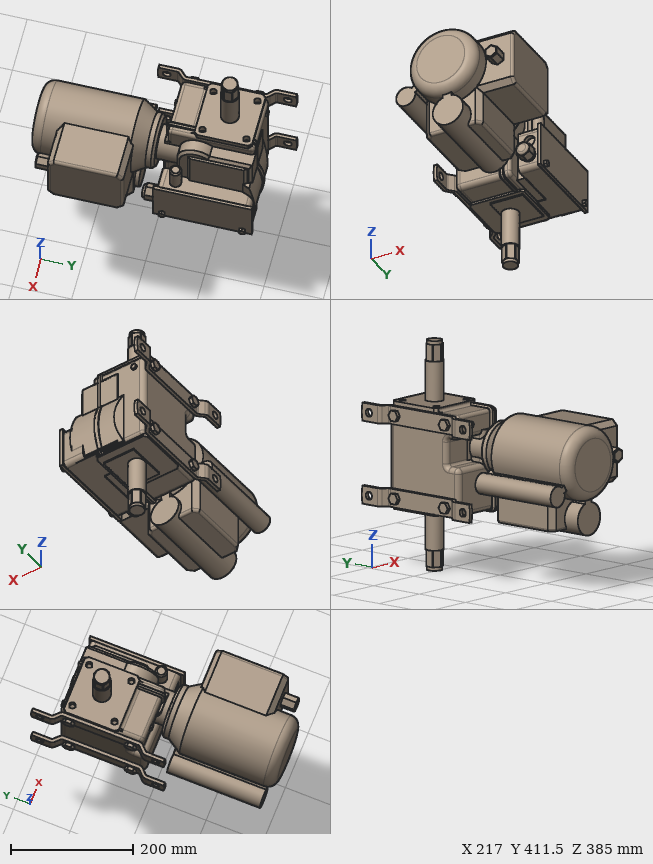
import cadquery as cq
import math



def box(x_min, x_max, y_min, y_max, z_min, z_max):
    """Axis-aligned box given by its six limits."""
    size = (x_max - x_min, y_max - y_min, z_max - z_min)
    return cq.Workplane("XY").box(*size, centered=False).translate((x_min, y_min, z_min))


def rod_y(x, z, radius, y_back, y_front):
    """Round rod along Y, from y_back forward to y_front."""
    plane = cq.Plane((x, y_back, z), xDir=(0, 0, 1), normal=(0, -1, 0))
    return cq.Workplane(plane).circle(radius).extrude(y_back - y_front)


def hex_prism(origin, outward, corner_dir, across_flats, length):
    """Hexagonal prism growing along outward, with one corner towards corner_dir."""
    plane = cq.Plane(origin, xDir=corner_dir, normal=outward)
    return cq.Workplane(plane).polygon(6, across_flats / math.cos(math.pi / 6)).extrude(length)


housing_left = -52.0
housing_right = 50.5
housing_back = 53.5
upper_front = -93.0
lower_front = -97.5
block_top = 84.8
block_bottom = -84.8
corner_fillet = 9.0
top_fillet = 6.0
right_fillet = 5.8

recess_back = -71.0
recess_bottom = -3.0
recess_top = 43.2
recess_fillet = 5.0
recess_right = 10.3

plate_right = 49.5
plate_back = 48.5
plate_front = -49.0
plate_corner = 5.5
plate_foot_radius = 5.5
top_plate_face = 91.8
bottom_plate_face = -89.0
bottom_pad_face = -91.5
bottom_pad_left = -16.5
bottom_pad_front = -40.5
bottom_pad_back = 33
plate_hole_diameter = 10.5
plate_hole_spacing = 74.5
plate_hole_depth = 12.5
drill_angle = 118

rib_left = 31.3
rib_right = 39.0
rib_top = 88.5
rib_front = -102.0
rib_upper_front = -96.5
rib_back = 56.0
rib_fillet = 9.0
rib_bulge_rise = 2.5
rib_slope = 3.3

cover_right = 75.0
cover_back = 55.5
cover_top = 67.5
cover_bottom = -82.5
cover_fillet = 5.0
hub_radius = 33
hub_y = -38.5
hub_z = 43.0
pad_right = 79.5
pad_front = -52.5
pad_back = 47.7
pad_top = 61.7

bulge_left = -11.0
bulge_end_y = 41
bulge_depth = 10.5
bulge_slope_left = 12.0
bulge_overhang = 10.0
bulge_top = 16.5
bulge_bottom = -84.0

switch_left = 65.5
switch_front = -97.5
switch_back = 61.5
switch_bottom = -84.0
switch_top = -7.5
switch_fillet = 9.0
lid_left = 104.0
lid_right = 110.0
lid_front = -103
lid_back = 64.0
lid_overhang = 1.2
lid_screw_flats = 10.0
lid_screw_height = 5.5
lid_screw_z = -77.0
lid_screw_ys = (48.5, -87.2)
gland_x = 86.0
gland_z = -59.5
gland_flats = 24.3
gland_neck = 4
gland_neck_radius = 11.5
gland_length = 28.0
gland_tip_radius = 12.0
gland_tip_length = 5.0
gland_tip_fillet = 4.5
spare_hole_z = -31.3
spare_hole_radius = 10.0
spare_hole_depth = 8.2
plug_x = 87.5
plug_y = -70
plug_radius = 10.0
plug_length = 39.0
plug_chamfer = 3.0

small_plug_flats = 9.5
small_plug_height = 3.3
small_plug_z = 66
front_plug_x = -17.0
back_plug_x = -33

shaft_radius = 15.2
shaft_shoulder = 158.5
shaft_hex_end = 186.5
shaft_end = 192.5
shaft_hex_flats = 26.0
shaft_hex_corner_radius = 14.5
shaft_tip_radius = 12.8

motor_x = 35.0
motor_z = 21.0
motor_radius = 62.5
neck_radius = 29.2
flange_radius = 46.5
flange_chamfer = 5.0
flange_back = -108.5
cone_back = -122.5
barrel_back = -148
motor_front = -314.0
motor_fillet = 18.0

terminal_reach = 112.0
terminal_width = 104.5
terminal_back = -144
terminal_front = -272.0
terminal_chamfer = 10.0
terminal_fillet = 5.0
terminal_gland_offset = 84.0
terminal_gland_flats = 22.0
terminal_gland_length = 25.0
terminal_gland_chamfer = 1.5

capacitor_back = -136.5
capacitor_front = -300.5
small_capacitor_x = -36.5
small_capacitor_z = -23.5
small_capacitor_radius = 17.5
small_web_width = 12.5
large_capacitor_x = 41.5
large_capacitor_z = -72.5
large_capacitor_radius = 28.0
large_web_x = 40.0
large_web_width = 16.5

bracket_z = 69.5
bracket_width = 30.5
bracket_thickness = 6.0
bracket_offset = 12.0
bracket_back = 97.5
bracket_front = -138.3
bracket_end_bulge = 1.5
bend_back = 47.7
bend_front = -89.0
bend_radius = 4
bracket_hole_diameter = 13.0
bracket_hole_ys = (82.0, -122.5)
bolt_ys = (34.5, -75.0)
bolt_flats = 17.3
bolt_height = 6.0


def housing_block():
    """Housing with the motor recess across its front and rounded outer edges."""
    profile = [
        (housing_back, block_bottom),
        (lower_front, block_bottom),
        (lower_front, recess_bottom),
        (recess_back, recess_bottom),
        (recess_back, recess_top),
        (upper_front, recess_top),
        (upper_front, block_top),
        (housing_back, block_top),
    ]
    block = cq.Workplane("YZ", origin=(housing_left, 0, 0)).polyline(profile).close()
    block = block.extrude(housing_right - housing_left)
    recess_rear = cq.selectors.BoxSelector(
        (housing_left, recess_back - recess_fillet, recess_bottom - recess_fillet),
        (housing_right, recess_back + recess_fillet, recess_top + recess_fillet),
    )
    front_edges = cq.selectors.BoxSelector(
        (housing_left, lower_front - recess_fillet, block_bottom - recess_fillet),
        (housing_right, upper_front + recess_fillet, recess_top + recess_fillet),
    )
    block = block.edges("|X").edges(recess_rear).fillet(recess_fillet)
    block = block.edges("|X").edges(front_edges).fillet(corner_fillet)
    block = block.edges("|X").edges(">Z or >Y").fillet(top_fillet)
    block = block.faces("<X").edges().fillet(corner_fillet)
    return block.faces(">X").edges().fillet(right_fillet)


def recess_end():
    """Raised end of the recess, level with the lower front and rounded towards the recess."""
    boss = box(
        recess_right, housing_right, lower_front, recess_back,
        recess_bottom - corner_fillet, recess_top + corner_fillet,
    )
    return boss.edges("|Z and <X and <Y").fillet(corner_fillet)


def mounting_plate(outer_face):
    """Square plate with cut corners, reaching from the housing middle to outer_face."""
    z_min = min(0, outer_face)
    z_max = max(0, outer_face)
    plate = box(housing_left, plate_right, plate_front, plate_back, z_min, z_max)
    return plate.edges("|Z").chamfer(plate_corner)


def plate_foot():
    """Concave fillet between the front of the top plate and the housing top."""
    radius = plate_foot_radius
    inset = radius * (1 - math.sqrt(0.5))
    foot = (
        cq.Workplane("YZ", origin=(housing_left + plate_corner, 0, 0))
        .moveTo(plate_front, block_top + radius)
        .threePointArc((plate_front - inset, block_top + inset), (plate_front - radius, block_top))
        .lineTo(plate_front, block_top)
        .close()
    )
    return foot.extrude(plate_right - housing_left - 2 * plate_corner)


def bottom_pad():
    """Low pad under the lower mounting plate."""
    return box(
        bottom_pad_left, plate_right - plate_corner,
        bottom_pad_front, bottom_pad_back, bottom_pad_face, 0,
    )


def plate_holes():
    """Four drilled blind holes in the top plate, with conical bottoms."""
    radius = plate_hole_diameter / 2
    cone_depth = radius / math.tan(math.radians(drill_angle / 2))
    drill = (
        cq.Workplane("XZ")
        .polyline([(0, 0), (radius, 0), (radius, -plate_hole_depth), (0, -plate_hole_depth - cone_depth)])
        .close()
        .revolve(360, (0, 0, 0), (0, 1, 0))
    )
    half = plate_hole_spacing / 2
    holes = cq.Workplane("XY")
    for x in (-half, half):
        for y in (-half, half):
            holes = holes.add(drill.translate((x, y, top_plate_face)))
    return holes.combine()


def parting_rib():
    """Thin rib standing proud of the housing, stepped back above the recess."""
    width = (rib_left, rib_right)
    lower = box(*width, rib_front, rib_back, -rib_top, recess_bottom)
    upper = box(*width, rib_upper_front, rib_back, recess_bottom, rib_top)
    lower = lower.edges("|X and <Z").fillet(rib_fillet)
    upper = upper.edges("|X and >Z").fillet(rib_fillet)
    return lower.union(upper).faces("<X").edges().chamfer(rib_slope)


def bulge_arc(x_min, x_max, depth):
    """Segment of a cylinder along X, rising by depth from the back of the housing."""
    middle = (bulge_top + bulge_bottom) / 2
    segment = cq.Workplane("YZ", origin=(x_min, 0, 0)).moveTo(housing_back, bulge_bottom)
    segment = segment.threePointArc((housing_back + depth, middle), (housing_back, bulge_top))
    segment = segment.lineTo(0, bulge_top).lineTo(0, bulge_bottom).close()
    return segment.extrude(x_max - x_min)


def back_bulge():
    """Rounded bulge on the back: slanted at its left end, overhanging at its right end."""
    crest = housing_back + bulge_depth
    outline = cq.Workplane("XY", origin=(0, 0, bulge_bottom)).polyline([
        (bulge_left, 0),
        (bulge_left, housing_back),
        (bulge_left + bulge_slope_left, crest),
        (pad_right + bulge_overhang, crest),
        (pad_right, bulge_end_y),
        (pad_right, 0),
    ]).close().extrude(bulge_top - bulge_bottom)
    segment = bulge_arc(bulge_left, pad_right + bulge_overhang, bulge_depth)
    return segment.intersect(outline).union(bulge_arc(rib_left, rib_right, bulge_depth + rib_bulge_rise))


def drive_cover():
    """Cover on the right of the housing, with a round hub at its upper front."""
    cover = box(0, cover_right, hub_y, cover_back, cover_bottom, cover_top)
    hub_foot = box(0, cover_right, hub_y - hub_radius, hub_y, cover_bottom, hub_z)
    hub = cq.Workplane("YZ").center(hub_y, hub_z).circle(hub_radius).extrude(cover_right)
    cover = cover.union(hub_foot).union(hub)
    cover = cover.faces(">X").edges().chamfer(cover_fillet)
    pad = box(0, pad_right, pad_front, pad_back, cover_bottom, pad_top)
    pad = pad.edges("|Z and >X").chamfer(pad_right - cover_right)
    return cover.union(pad)


def switch_box():
    """Switch box with its lid, lid screws, front gland and top plug."""
    body = box(switch_left, lid_left, switch_front, switch_back, switch_bottom, switch_top)
    body = body.edges("|X").fillet(switch_fillet)
    lid = box(
        lid_left, lid_right, lid_front, lid_back,
        switch_bottom - lid_overhang, switch_top + lid_overhang,
    )
    body = body.union(lid)
    for y in lid_screw_ys:
        origin = (lid_right, y, lid_screw_z)
        body = body.union(hex_prism(origin, (1, 0, 0), (0, 0, 1), lid_screw_flats, lid_screw_height))
    neck_front = switch_front - gland_neck
    neck = rod_y(gland_x, gland_z, gland_neck_radius, switch_front, neck_front)
    nut = hex_prism(
        (gland_x, neck_front, gland_z), (0, -1, 0), (0, 0, 1),
        gland_flats, gland_length - gland_neck - gland_tip_length,
    )
    tip_front = switch_front - gland_length
    tip = rod_y(gland_x, gland_z, gland_tip_radius, tip_front + gland_tip_length, tip_front)
    tip = tip.faces("<Y").edges().fillet(gland_tip_fillet)
    spare_hole = rod_y(
        gland_x, spare_hole_z, spare_hole_radius, switch_front + spare_hole_depth, switch_front,
    )
    plug = cq.Workplane("XY", origin=(plug_x, plug_y, switch_top))
    plug = plug.circle(plug_radius).extrude(plug_length).faces(">Z").chamfer(plug_chamfer)
    return body.cut(spare_hole).union(neck).union(nut).union(tip).union(plug)


def small_plugs():
    """One small hexagonal plug in the front of the housing and one in the back."""
    front = hex_prism(
        (front_plug_x, upper_front, small_plug_z), (0, -1, 0), (1, 0, 0),
        small_plug_flats, small_plug_height,
    )
    back = hex_prism(
        (back_plug_x, housing_back, small_plug_z), (0, 1, 0), (1, 0, 0),
        small_plug_flats, small_plug_height,
    )
    return front.union(back)


def output_shaft():
    """Shaft through the housing with a hexagonal drive and a round tip at each end."""
    shaft = cq.Workplane("XY").circle(shaft_radius).extrude(shaft_shoulder, both=True)
    corner_limit = cq.Workplane("XY").circle(shaft_hex_corner_radius).extrude(shaft_end, both=True)
    for end in (1, -1):
        shoulder = (0, 0, end * shaft_shoulder)
        hex_length = shaft_hex_end - shaft_shoulder
        drive = hex_prism(shoulder, (0, 0, end), (0, 1, 0), shaft_hex_flats, hex_length)
        drive = drive.intersect(corner_limit)
        tip = cq.Workplane("XY", origin=(0, 0, end * shaft_hex_end)).circle(shaft_tip_radius)
        shaft = shaft.union(drive).union(tip.extrude(end * (shaft_end - shaft_hex_end)))
    return shaft


def motor():
    """Turned motor body: neck, flange, cone and barrel with a rounded end."""
    rounding = motor_fillet * math.sqrt(0.5)
    profile = (
        cq.Workplane(cq.Plane((motor_x, 0, motor_z), xDir=(0, 0, 1), normal=(-1, 0, 0)))
        .moveTo(0, recess_back)
        .lineTo(neck_radius, recess_back)
        .lineTo(neck_radius, flange_back)
        .lineTo(flange_radius - flange_chamfer, flange_back)
        .lineTo(flange_radius, flange_back - flange_chamfer)
        .lineTo(flange_radius, cone_back)
        .lineTo(motor_radius, barrel_back)
        .lineTo(motor_radius, motor_front + motor_fillet)
        .threePointArc(
            (motor_radius - motor_fillet + rounding, motor_front + motor_fillet - rounding),
            (motor_radius - motor_fillet, motor_front),
        )
        .lineTo(0, motor_front)
        .close()
    )
    return profile.revolve(360, (0, 0, 0), (0, 1, 0))


def terminal_box():
    """Terminal box reaching right from the motor axis."""
    half = terminal_width / 2
    body = box(
        motor_x, motor_x + terminal_reach, terminal_front, terminal_back,
        motor_z - half, motor_z + half,
    )
    return body.edges("|X").chamfer(terminal_chamfer).faces(">X").edges().fillet(terminal_fillet)


def terminal_boxes():
    """Two equal terminal boxes, right and below; the right one carries a cable gland."""
    axis_start = (motor_x, 0, motor_z)
    axis_end = (motor_x, 1, motor_z)
    right = terminal_box()
    below = terminal_box().rotate(axis_start, axis_end, 90)
    gland = hex_prism(
        (motor_x + terminal_gland_offset, terminal_front, motor_z), (0, -1, 0), (0, 0, 1),
        terminal_gland_flats, terminal_gland_length,
    ).faces("<Y").chamfer(terminal_gland_chamfer)
    return right.union(below).union(gland)


def capacitors():
    """Two capacitors along the motor, each joined to it by a web."""
    span = (capacitor_back, capacitor_front)
    small = rod_y(small_capacitor_x, small_capacitor_z, small_capacitor_radius, *span)
    large = rod_y(large_capacitor_x, large_capacitor_z, large_capacitor_radius, *span)

    across = motor_x - small_capacitor_x
    rise = motor_z - small_capacitor_z
    small_web = box(
        small_capacitor_x, small_capacitor_x + math.hypot(across, rise) - flange_radius,
        capacitor_front, capacitor_back,
        small_capacitor_z - small_web_width / 2, small_capacitor_z + small_web_width / 2,
    ).rotate(
        (small_capacitor_x, 0, small_capacitor_z), (small_capacitor_x, 1, small_capacitor_z),
        -math.degrees(math.atan2(rise, across)),
    )
    large_web = box(
        large_web_x - large_web_width / 2, large_web_x + large_web_width / 2,
        capacitor_front, capacitor_back, large_capacitor_z, motor_z - flange_radius,
    )
    return small.union(large).union(small_web).union(large_web)


def drive_unit():
    """Gearbox, output shaft and motor as one solid."""
    gearbox = housing_block().union(recess_end()).union(parting_rib()).union(plate_foot())
    gearbox = gearbox.union(mounting_plate(top_plate_face)).union(mounting_plate(bottom_plate_face))
    gearbox = gearbox.union(bottom_pad()).cut(plate_holes())
    gearbox = gearbox.union(drive_cover()).union(back_bulge()).union(switch_box()).union(small_plugs())
    motor_unit = motor().union(terminal_boxes()).union(capacitors())
    return gearbox.union(output_shaft()).union(motor_unit)


def bracket(z):
    """Joggled strap on the left of the housing, with two bolt heads and two end holes."""
    near = housing_left
    far = housing_left - bracket_offset
    thick = bracket_thickness
    shift = thick * math.tan(math.pi / 8)
    strap = cq.Workplane("XY", origin=(0, 0, z)).polyline([
        (near, bend_back + shift),
        (far, bend_back + bracket_offset + shift),
        (far, bracket_back),
        (far - thick, bracket_back),
        (far - thick, bend_back + bracket_offset),
        (near - thick, bend_back),
        (near - thick, bend_front),
        (far - thick, bend_front - bracket_offset),
        (far - thick, bracket_front),
        (far, bracket_front),
        (far, bend_front - bracket_offset - shift),
        (near, bend_front - shift),
    ]).close().extrude(bracket_width / 2, both=True)

    outer_radius = bend_radius + thick
    for x, radius in (
        (near, outer_radius), (near - thick, bend_radius), (far, bend_radius), (far - thick, outer_radius),
    ):
        bends = cq.selectors.BoxSelector(
            (x - thick / 4, bracket_front + thick, z - bracket_width),
            (x + thick / 4, bracket_back - thick, z + bracket_width),
        )
        strap = strap.edges("|Z").edges(bends).fillet(radius)

    half = bracket_width / 2
    corner_back = bracket_back - bracket_end_bulge
    corner_front = bracket_front + bracket_end_bulge
    reach = bracket_offset + thick
    outline = (
        cq.Workplane("YZ", origin=(near - reach, 0, z))
        .moveTo(corner_front, half)
        .lineTo(corner_back, half)
        .threePointArc((bracket_back, 0), (corner_back, -half))
        .lineTo(corner_front, -half)
        .threePointArc((bracket_front, 0), (corner_front, half))
        .close()
        .extrude(reach)
    )
    end_holes = cq.Workplane("YZ", origin=(near - reach, 0, z))
    end_holes = end_holes.pushPoints([(y, 0) for y in bracket_hole_ys])
    end_holes = end_holes.circle(bracket_hole_diameter / 2).extrude(reach)
    strap = strap.intersect(outline).cut(end_holes)
    for y in bolt_ys:
        strap = strap.union(hex_prism((near - thick, y, z), (-1, 0, 0), (0, 1, 0), bolt_flats, bolt_height))
    return strap


drive = drive_unit()
brackets = [bracket(z) for z in (bracket_z, -bracket_z)]

result = cq.Compound.makeCompound([drive.val(), *[strap.val() for strap in brackets]])